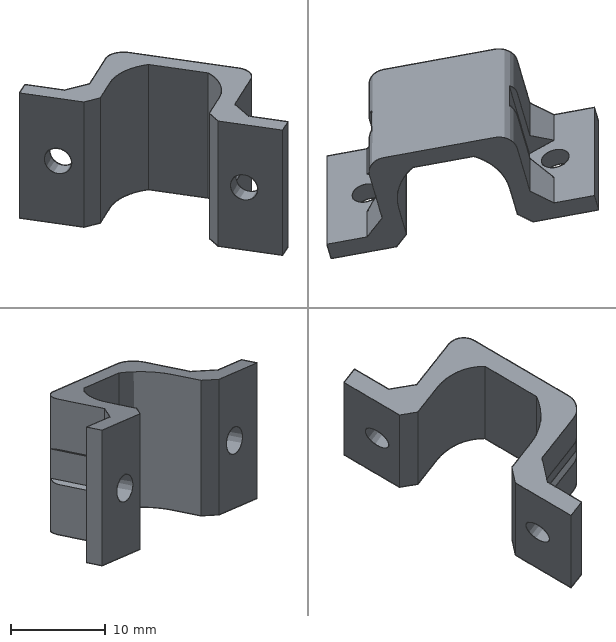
import cadquery as cq
import math

length = 29.0
depth = 12.0
height = 15.0

wall = 2.0
channel_half_width = 6.0
outer_half_width = channel_half_width + wall
channel_roof = depth - wall
bore_center = 5.0
mouth_chamfer = 1.4
root_chamfer = 2.12
corner_radius = 2.0

hole_diameter = 3.0
hole_spacing = 20.5
nut_across_flats = 5.6


def bracket_body():
    """Hat-shaped profile with flanges, extruded along Z."""
    half = length / 2
    body = (
        cq.Workplane("XY")
        .moveTo(-half, 0)
        .lineTo(half, 0)
        .lineTo(half, wall)
        .lineTo(outer_half_width + root_chamfer, wall)
        .lineTo(outer_half_width, wall + root_chamfer)
        .lineTo(outer_half_width, depth)
        .lineTo(-outer_half_width, depth)
        .lineTo(-outer_half_width, wall + root_chamfer)
        .lineTo(-outer_half_width - root_chamfer, wall)
        .lineTo(-half, wall)
        .close()
        .extrude(height / 2, both=True)
    )
    return body.edges("|Z and >Y").fillet(corner_radius)


def channel():
    """Channel with a flat roof, round shoulders and a chamfered mouth."""
    radius = channel_half_width
    roof_half_width = math.sqrt(radius**2 - (channel_roof - bore_center) ** 2)
    middle = radius * math.sqrt(0.5)
    mouth_half_width = radius + mouth_chamfer
    return (
        cq.Workplane("XY")
        .moveTo(-mouth_half_width, 0)
        .lineTo(mouth_half_width, 0)
        .lineTo(radius, mouth_chamfer)
        .lineTo(radius, bore_center)
        .threePointArc((middle, bore_center + middle), (roof_half_width, channel_roof))
        .lineTo(-roof_half_width, channel_roof)
        .threePointArc((-middle, bore_center + middle), (-radius, bore_center))
        .lineTo(-radius, mouth_chamfer)
        .close()
        .extrude(height / 2, both=True)
    )


def screw_hole(x):
    """Screw hole through the flange."""
    return cq.Workplane("XZ").center(x, 0).circle(hole_diameter / 2).extrude(-depth)


def nut_clearance(x):
    """Hexagonal nut access above the flange, with one flat cut into the side wall."""
    across_corners = nut_across_flats * 2 / math.sqrt(3)
    prism = cq.Workplane("XZ").polygon(6, across_corners).extrude(wall - depth)
    return prism.rotate((0, 0, 0), (0, 1, 0), 30).translate((x, wall, 0))


result = bracket_body().cut(channel())
for hole_x in (-hole_spacing / 2, hole_spacing / 2):
    result = result.cut(screw_hole(hole_x)).cut(nut_clearance(hole_x))